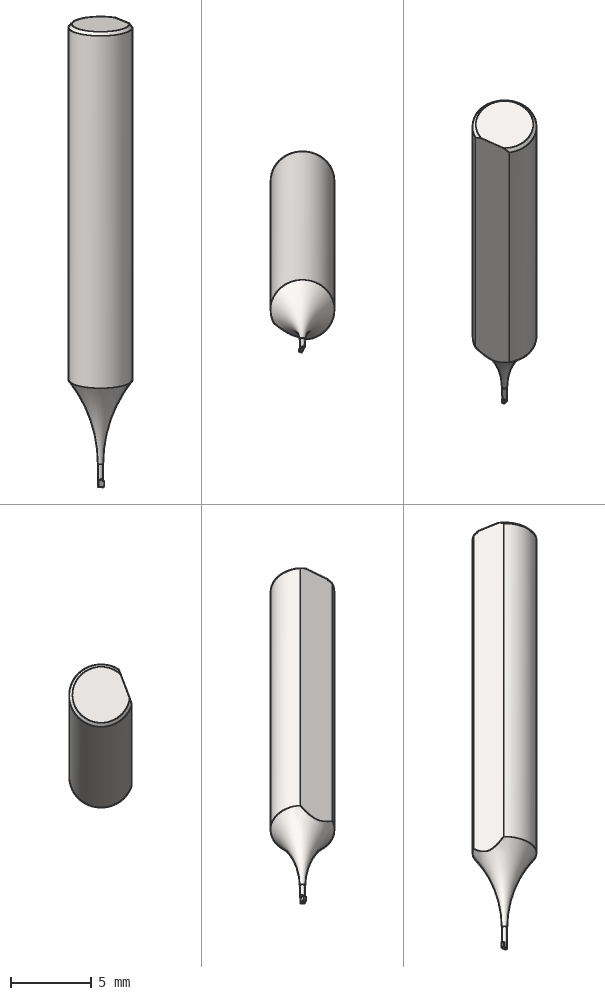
import cadquery as cq
import math

total_length = 30.0
shank_radius = 6 / 3
shank_bottom = 7.0
flat_y = 1.605
chamfer = 0.2

taper_bottom = 1.55
taper_end_radius = 0.18

neck_radius = 0.165
neck_bottom = 0.05
relief_x = 0.05
relief_top = 0.63
relief_ramp = 0.12
tooth_reach = 0.255
tooth_top = 0.4
tooth_point_y = 0.12
tooth_back_x = -0.12


def turned_body():
    """Revolve the shank, concave taper and neck about Z."""
    rise = shank_bottom - taper_bottom
    spread = shank_radius - taper_end_radius
    arc_radius = (rise**2 + spread**2) / (2 * spread)
    half_angle = math.asin(rise / arc_radius) / 2
    arc_middle = (
        taper_end_radius + arc_radius * (1 - math.cos(half_angle)),
        taper_bottom + arc_radius * math.sin(half_angle),
    )
    return (
        cq.Workplane("XZ")
        .moveTo(0, neck_bottom)
        .lineTo(neck_radius, neck_bottom)
        .lineTo(neck_radius, taper_bottom)
        .lineTo(taper_end_radius, taper_bottom)
        .threePointArc(arc_middle, (shank_radius, shank_bottom))
        .lineTo(shank_radius, total_length - chamfer)
        .lineTo(shank_radius - chamfer, total_length)
        .lineTo(0, total_length)
        .close()
        .revolve(360, (0, 0, 0), (0, 1, 0))
    )


def clamping_flat():
    """Material beyond the flat on the +Y side of the shank."""
    width = 2 * shank_radius
    return cq.Workplane("XY").box(
        width, width, total_length, centered=(True, False, False)
    ).translate((0, flat_y, 0))


def cutting_tooth():
    """Small tooth projecting toward +Y, with its point at the lower end."""
    return (
        cq.Workplane("YZ", origin=(tooth_back_x, 0, 0))
        .moveTo(0, tooth_top)
        .lineTo(tooth_reach, tooth_top)
        .lineTo(tooth_reach, neck_bottom)
        .lineTo(tooth_point_y, 0)
        .lineTo(0, neck_bottom)
        .close()
        .extrude(relief_x - tooth_back_x)
    )


def rake_relief():
    """Cut on the +X side of the tip, running out through a 45 degree ramp."""
    outer_x = relief_x + relief_ramp
    return (
        cq.Workplane("XZ")
        .moveTo(relief_x, 0)
        .lineTo(outer_x, 0)
        .lineTo(outer_x, relief_top)
        .lineTo(relief_x, relief_top - relief_ramp)
        .close()
        .extrude(tooth_reach, both=True)
    )


result = turned_body().cut(clamping_flat()).union(cutting_tooth()).cut(rake_relief())